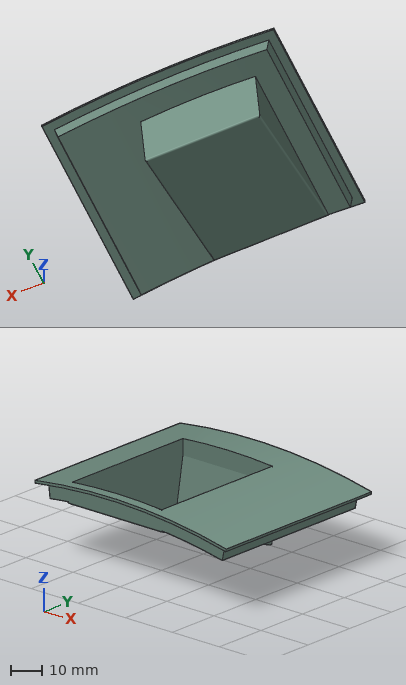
import cadquery as cq
import math

plate_length = 81.45
plate_width = 69.9
plate_thickness = 1.0
crown_radius = 232.95
crest_x = -9.2

plug_margin = 3.0
plug_depth = 6.6

opening_length = 38.0
opening_front_y = -31.0
opening_back_y = 22.1
recess_start_z = -6.5
back_wall_angle = 10.0
floor_angle = 20.0

side_wall = 1.05
pan_bottom_z = -26.9
pan_front_z = -8.0
pan_edge_radius = 0.65

wall_lean = math.tan(math.radians(back_wall_angle))
floor_slope = math.tan(math.radians(floor_angle))


def arc_angle(x):
    """Angle from the vertical at which the upper face reaches the given X."""
    return math.asin((x - crest_x) / crown_radius)


def arc_point(depth, angle):
    """Point at a radial depth below the upper face."""
    radius = crown_radius - depth
    return (crest_x + radius * math.sin(angle), radius * math.cos(angle) - crown_radius)


def curved_slab(top_depth, bottom_depth, margin):
    """Slab between two concentric arcs, with radial ends, centred on Y = 0."""
    start = arc_angle(margin - plate_length / 2)
    end = arc_angle(plate_length / 2 - margin)
    middle = (start + end) / 2
    width = plate_width - 2 * margin
    return (
        cq.Workplane("XZ")
        .moveTo(*arc_point(top_depth, start))
        .threePointArc(arc_point(top_depth, middle), arc_point(top_depth, end))
        .lineTo(*arc_point(bottom_depth, end))
        .threePointArc(arc_point(bottom_depth, middle), arc_point(bottom_depth, start))
        .close()
        .extrude(width / 2, both=True)
    )


def side_profile_prism(points, length):
    """Extrude a closed YZ outline along X, centred on the crest."""
    return (
        cq.Workplane("YZ", origin=(crest_x, 0, 0))
        .polyline(points)
        .close()
        .extrude(length / 2, both=True)
    )


def rounding_loss(radius):
    """Height lost when the corner between the floor and the back wall is rounded."""
    half_corner = math.radians(90 - floor_angle + back_wall_angle) / 2
    bisector_tilt = half_corner - math.radians(back_wall_angle)
    return radius * (math.cos(bisector_tilt) / math.sin(half_corner) - 1)


def make_pan():
    """Outer body of the pan; its front is flush with the front of the plug."""
    top_z = -plug_depth / 2
    corner_z = pan_bottom_z - rounding_loss(pan_edge_radius)
    front_y = plug_margin - plate_width / 2
    corner_y = front_y + (pan_front_z - corner_z) / floor_slope
    back_y = corner_y + (top_z - corner_z) * wall_lean
    outline = [(front_y, top_z), (front_y, pan_front_z), (corner_y, corner_z), (back_y, top_z)]
    pan = side_profile_prism(outline, opening_length + 2 * side_wall)
    return pan.faces("<(0, 1, 3)").edges().fillet(pan_edge_radius)


def make_recess():
    """Straight opening through the plate, then a wedge down to the deepest line."""
    above_plate_z = 0.8
    wedge_depth = (opening_back_y - opening_front_y) / (1 / floor_slope + wall_lean)
    deepest_line = (opening_back_y - wedge_depth * wall_lean, recess_start_z - wedge_depth)
    outline = [
        (opening_front_y, above_plate_z),
        (opening_front_y, recess_start_z),
        deepest_line,
        (opening_back_y, recess_start_z),
        (opening_back_y, above_plate_z),
    ]
    return side_profile_prism(outline, opening_length)


plate = curved_slab(0, plate_thickness, 0)
plug = curved_slab(plate_thickness / 2, plug_depth, plug_margin)
result = plate.union(plug).union(make_pan()).cut(make_recess())